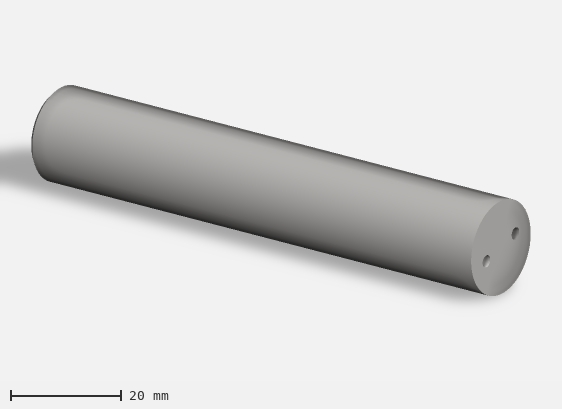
import cadquery as cq
import math

length = 100.0
diameter = 18.0
chamfer = 0.9

duct_diameter = 2.3
duct_circle_diameter = 9.2
duct_start_angle = 10.0
helix_angle = 30.0

helix_pitch = math.pi * diameter / math.tan(math.radians(helix_angle))
twist = 360 * length / helix_pitch
end_x = -length / 2


def make_bar():
    bar = cq.Workplane("YZ", origin=(end_x, 0, 0)).circle(diameter / 2).extrude(length)
    return bar.faces("<X").chamfer(chamfer)


def make_duct(angle):
    """Twisted duct whose start lies at the given angle from +Y towards +Z."""
    radius = duct_circle_diameter / 2
    y = radius * math.cos(math.radians(angle))
    z = radius * math.sin(math.radians(angle))
    section = cq.Workplane("YZ", origin=(end_x, 0, 0)).center(y, z).circle(duct_diameter / 2)
    return section.center(-y, -z).twistExtrude(length, twist)


result = make_bar()
for start_angle in (duct_start_angle, duct_start_angle + 180):
    result = result.cut(make_duct(start_angle))